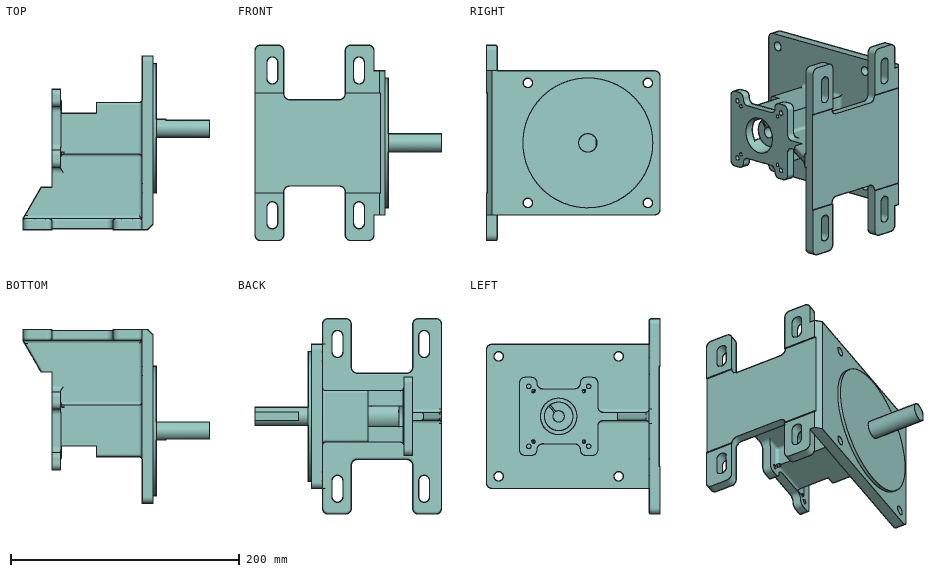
import cadquery as cq


FOOT_HALF_HEIGHT = 85.7
FOOT_THICKNESS = 9.8
FOOT_LENGTH = 104.4
EAR_WIDTH = 25.4
EAR_CORNER_RADIUS = 5.1
FOOT_WEB_HALF_HEIGHT = 37.9
SLOT_LENGTH = 23.5
SLOT_WIDTH = 9.3
SLOT_FIRST_X = 15.3
SLOT_SPACING_X = 76.0
SLOT_CENTER_Z = 63.5
RELIEF_HALF_HEIGHT = 43.7
RELIEF_DEPTH = 0.9

PLATE_THICKNESS = 9.8
PLATE_FRONT_X = FOOT_LENGTH + PLATE_THICKNESS
PLATE_TOP_Y = 152.5
PLATE_HALF_HEIGHT = 63.3
PLATE_CORNER_RADIUS = 5.1
PLATE_CHAMFER = 5.0
PLATE_HOLE_SPACING = 105.1
PLATE_HOLE_DIAMETER = 8.0
AXIS_Y = 89.0
PILOT_RADIUS = 57.0
PILOT_HEIGHT = 2.7
PILOT_FRONT_X = PLATE_FRONT_X + PILOT_HEIGHT

FLANGE_BACK_X = 25.4
FLANGE_THICKNESS = 7.7
FLANGE_FRONT_X = FLANGE_BACK_X + FLANGE_THICKNESS
FLANGE_HALF_SIZE = 34.3
FLANGE_EAR_WIDTH = 15.3
FLANGE_NOTCH_DEPTH = 10.1
FLANGE_RADIUS = 5.0
GUSSET_DEPTH = 5.1
BOLT_OFFSET = 26.2
BOLT_DIAMETER = 4.0
PIN_OFFSET = 22.1
PIN_DIAMETER = 3.0

HOUSING_HALF_SIZE = 22.6
HOUSING_EDGE_RADIUS = 2.2
WINDOW_FLOOR_Y = 102.2
WINDOW_START_X = 33.6
WINDOW_END_X = 64.3
BORE_RADIUS = 16.0

RIB_HALF_THICKNESS = 3.6
RIB_LEDGE_X = 16.0
RIB_LEDGE_Y = 37.4

FILLET_RADIUS = 2.7
ROUND_RADIUS = 2.0

SHAFT_RADIUS = 8.0
SHAFT_END_X = 163.5
FLAT_DEPTH = 0.9
FLAT_START_X = 125.3
HUB_RADIUS = 12.5
HUB_BACK_X = 37.4
HUB_BORE_RADIUS = 5.0
HUB_BORE_DEPTH = 24.0
SLIT_WIDTH = 1.5
SLIT_ANGLE = 50.0

BORE_END_X = FOOT_LENGTH
HOUSING_BOTTOM_Y = AXIS_Y - HOUSING_HALF_SIZE
HOUSING_TOP_Y = AXIS_Y + HOUSING_HALF_SIZE
FLANGE_BOTTOM_Y = AXIS_Y - FLANGE_HALF_SIZE
FLANGE_TOP_Y = AXIS_Y + FLANGE_HALF_SIZE
GUSSET_Y = FLANGE_BOTTOM_Y - GUSSET_DEPTH
FLANGE_DEPTH_WITH_FILLET = FLANGE_THICKNESS + FILLET_RADIUS

SELECTION_MARGIN = 0.09
OVERRUN = 10.3


def block(x_range, y_range, z_range):
    """Axis-aligned box given by its limits along each axis."""
    (x0, x1), (y0, y1), (z0, z1) = x_range, y_range, z_range
    return cq.Workplane("XY").box(x1 - x0, y1 - y0, z1 - z0, centered=False).translate((x0, y0, z0))


def both_sides(half):
    """Limits of a span symmetric about zero."""
    return (-half, half)


def axis_plane(x):
    """Plane facing +X centred on the shaft axis; its local x is Y and its local y is Z."""
    return cq.Workplane("YZ", origin=(x, AXIS_Y, 0))


def inside(x_range, y_range, half_z):
    """Selector of edges lying within the given limits, slightly widened."""
    low = (x_range[0] - SELECTION_MARGIN, y_range[0] - SELECTION_MARGIN, -half_z - SELECTION_MARGIN)
    high = (x_range[1] + SELECTION_MARGIN, y_range[1] + SELECTION_MARGIN, half_z + SELECTION_MARGIN)
    return cq.selectors.BoxSelector(low, high, boundingbox=True)


def make_foot():
    """Sharp-edged foot: a plate whose long edges are notched between the ears."""
    foot = block((0, FOOT_LENGTH), (0, FOOT_THICKNESS), both_sides(FOOT_HALF_HEIGHT))
    gap_x = (EAR_WIDTH, FOOT_LENGTH - EAR_WIDTH)
    for gap_z in (
        (FOOT_WEB_HALF_HEIGHT, FOOT_HALF_HEIGHT),
        (-FOOT_HALF_HEIGHT, -FOOT_WEB_HALF_HEIGHT),
    ):
        foot = foot.cut(block(gap_x, (0, FOOT_THICKNESS), gap_z))
    return foot.edges("|Y").fillet(EAR_CORNER_RADIUS)


def make_foot_edge_waste(foot):
    """Material that rounds off the foot's upper edges, clear of the rib end and the plate."""
    waste = foot.cut(foot.faces(">Y").edges().fillet(ROUND_RADIUS))
    rib_end = block((0, EAR_WIDTH), (0, FOOT_THICKNESS), both_sides(RIB_HALF_THICKNESS + FILLET_RADIUS))
    plate_root = block(
        (FOOT_LENGTH - 2 * ROUND_RADIUS, FOOT_LENGTH), (0, FOOT_THICKNESS), both_sides(PLATE_HALF_HEIGHT)
    )
    return waste.cut(rib_end).cut(plate_root)


def make_foot_slots():
    return (
        cq.Workplane("XZ")
        .center(SLOT_FIRST_X + SLOT_SPACING_X / 2, 0)
        .rarray(SLOT_SPACING_X, 2 * SLOT_CENTER_Z, 2, 2)
        .slot2D(SLOT_LENGTH, SLOT_WIDTH, 90)
        .extrude(-FOOT_THICKNESS)
    )


def make_plate():
    plate = block((FOOT_LENGTH, PLATE_FRONT_X), (0, PLATE_TOP_Y), both_sides(PLATE_HALF_HEIGHT))
    plate = plate.edges("|X and >Y").fillet(PLATE_CORNER_RADIUS)
    plate = plate.edges(">X and <Y").chamfer(PLATE_CHAMFER)
    holes = (
        axis_plane(FOOT_LENGTH)
        .rarray(PLATE_HOLE_SPACING, PLATE_HOLE_SPACING, 2, 2)
        .circle(PLATE_HOLE_DIAMETER / 2)
        .extrude(PLATE_THICKNESS)
    )
    pilot = axis_plane(PLATE_FRONT_X).circle(PILOT_RADIUS).extrude(PILOT_HEIGHT)
    return plate.cut(holes).union(pilot)


def make_rib_blank():
    """Stepped rib and the strip of foot under it, both overrunning the foot's back edge."""
    lower = block((-OVERRUN, FOOT_LENGTH), (0, RIB_LEDGE_Y), both_sides(RIB_HALF_THICKNESS))
    upper = block((FLANGE_BACK_X, FOOT_LENGTH), (0, AXIS_Y), both_sides(RIB_HALF_THICKNESS))
    strip = block((-OVERRUN, EAR_WIDTH), (0, FOOT_THICKNESS), both_sides(FOOT_WEB_HALF_HEIGHT))
    return lower.union(upper).union(strip)


def make_back_waste():
    """Everything behind the foot's back edge and the rib's slanted edge."""
    return (
        cq.Workplane("XY", origin=(0, 0, -FOOT_HALF_HEIGHT))
        .polyline([
            (0, 0),
            (0, FOOT_THICKNESS),
            (RIB_LEDGE_X, RIB_LEDGE_Y),
            (-OVERRUN, RIB_LEDGE_Y),
            (-OVERRUN, 0),
        ])
        .close()
        .extrude(2 * FOOT_HALF_HEIGHT)
    )


def make_slant_edge_waste():
    """Slivers that round off the rib's slanted edge above the fillet at the foot."""
    wedge = (
        cq.Workplane("XY", origin=(0, 0, -RIB_HALF_THICKNESS))
        .polyline([
            (0, FOOT_THICKNESS),
            (RIB_LEDGE_X, RIB_LEDGE_Y),
            (FLANGE_BACK_X, RIB_LEDGE_Y),
            (FLANGE_BACK_X, FOOT_THICKNESS),
        ])
        .close()
        .extrude(2 * RIB_HALF_THICKNESS)
    )
    slant = inside((0, RIB_LEDGE_X), (FOOT_THICKNESS, RIB_LEDGE_Y), RIB_HALF_THICKNESS)
    waste = wedge.cut(wedge.edges(slant).edges("not |Z").fillet(ROUND_RADIUS))
    foot_fillet_zone = block(
        (0, FLANGE_BACK_X), (0, FOOT_THICKNESS + FILLET_RADIUS), both_sides(RIB_HALF_THICKNESS)
    )
    return waste.cut(foot_fillet_zone)


def make_housing():
    housing = block(
        (FLANGE_BACK_X, FOOT_LENGTH), (HOUSING_BOTTOM_Y, HOUSING_TOP_Y), both_sides(HOUSING_HALF_SIZE)
    )
    return housing.edges("|X and >Y").fillet(HOUSING_EDGE_RADIUS)


def fillet_inside_corners(casting):
    """Fillet where the housing and the rib meet each other, the flange, the plate and the foot."""
    housing_y = (HOUSING_BOTTOM_Y, HOUSING_TOP_Y)
    corners = [
        inside((FLANGE_FRONT_X, FLANGE_FRONT_X), housing_y, HOUSING_HALF_SIZE),
        inside((FOOT_LENGTH, FOOT_LENGTH), housing_y, HOUSING_HALF_SIZE),
        inside((FLANGE_FRONT_X, FOOT_LENGTH), (HOUSING_BOTTOM_Y, HOUSING_BOTTOM_Y), RIB_HALF_THICKNESS),
        inside((FOOT_LENGTH, FOOT_LENGTH), (FOOT_THICKNESS, HOUSING_BOTTOM_Y), RIB_HALF_THICKNESS),
        inside((FLANGE_FRONT_X, FLANGE_FRONT_X), (GUSSET_Y, HOUSING_BOTTOM_Y), RIB_HALF_THICKNESS),
        inside((-OVERRUN, FOOT_LENGTH), (FOOT_THICKNESS, FOOT_THICKNESS), RIB_HALF_THICKNESS),
    ]
    edges = casting.newObject([])
    for corner in corners:
        edges = edges.add(casting.edges(corner))
    return edges.fillet(FILLET_RADIUS)


def make_flange_outline():
    """Flange profile with rounded ears, blending down into the rib below."""
    x_range = (FLANGE_BACK_X, FLANGE_BACK_X + FLANGE_DEPTH_WITH_FILLET)
    notch_half_width = FLANGE_HALF_SIZE - FLANGE_EAR_WIDTH
    notch_y = (AXIS_Y - notch_half_width, AXIS_Y + notch_half_width)
    notch_floor = FLANGE_HALF_SIZE - FLANGE_NOTCH_DEPTH
    outline = block(x_range, (FLANGE_BOTTOM_Y, FLANGE_TOP_Y), both_sides(FLANGE_HALF_SIZE))
    for notch_z in ((notch_floor, FLANGE_HALF_SIZE), (-FLANGE_HALF_SIZE, -notch_floor)):
        outline = outline.cut(block(x_range, notch_y, notch_z))
    rib_root = block(x_range, (GUSSET_Y, AXIS_Y), both_sides(RIB_HALF_THICKNESS))
    return outline.union(rib_root).edges("|X").edges("not <Y").fillet(FLANGE_RADIUS)


def make_flange_waste():
    """Material around the flange profile, including the fillet that overhangs its notches."""
    x_range = (FLANGE_BACK_X, FLANGE_BACK_X + FLANGE_DEPTH_WITH_FILLET)
    square = block(x_range, (GUSSET_Y, FLANGE_TOP_Y), both_sides(FLANGE_HALF_SIZE))
    return square.cut(make_flange_outline())


def make_flange_holes():
    holes = cq.Workplane("XY")
    for offset, diameter in ((BOLT_OFFSET, BOLT_DIAMETER), (PIN_OFFSET, PIN_DIAMETER)):
        row = (
            axis_plane(FLANGE_BACK_X)
            .rarray(2 * offset, 2 * offset, 2, 2)
            .circle(diameter / 2)
            .extrude(FLANGE_DEPTH_WITH_FILLET)
        )
        holes = holes.add(row)
    return holes.combine()


def make_bracket():
    foot = make_foot()
    flange_blank = block(
        (FLANGE_BACK_X, FLANGE_FRONT_X), (GUSSET_Y, FLANGE_TOP_Y), both_sides(FLANGE_HALF_SIZE)
    )
    bracket = make_plate().union(foot).union(make_rib_blank()).union(make_housing()).union(flange_blank)
    bracket = fillet_inside_corners(bracket).cut(make_back_waste()).cut(make_slant_edge_waste())
    bracket = bracket.cut(make_foot_edge_waste(foot)).cut(make_foot_slots())
    bracket = bracket.cut(make_flange_waste()).cut(make_flange_holes())

    relief = block((0, PLATE_FRONT_X), (0, RELIEF_DEPTH), both_sides(RELIEF_HALF_HEIGHT))
    window = block(
        (WINDOW_START_X, WINDOW_END_X),
        (WINDOW_FLOOR_Y, HOUSING_TOP_Y + FILLET_RADIUS),
        both_sides(HOUSING_HALF_SIZE + FILLET_RADIUS),
    )
    bore = axis_plane(FLANGE_BACK_X).circle(BORE_RADIUS).extrude(BORE_END_X - FLANGE_BACK_X)
    shaft_hole = axis_plane(BORE_END_X).circle(SHAFT_RADIUS).extrude(PILOT_FRONT_X - BORE_END_X)
    return bracket.cut(relief).cut(window).cut(bore).cut(shaft_hole)


def make_shaft():
    """Output shaft with a flat, and a hub that is bored and slit to clamp the motor shaft."""
    hub = axis_plane(HUB_BACK_X).circle(HUB_RADIUS).extrude(BORE_END_X - HUB_BACK_X)
    shaft = axis_plane(BORE_END_X).circle(SHAFT_RADIUS).extrude(SHAFT_END_X - BORE_END_X)
    flat_y = AXIS_Y + SHAFT_RADIUS
    flat = block((FLAT_START_X, SHAFT_END_X), (flat_y - FLAT_DEPTH, flat_y), both_sides(SHAFT_RADIUS))
    hub_bore = axis_plane(HUB_BACK_X).circle(HUB_BORE_RADIUS).extrude(HUB_BORE_DEPTH)
    slit = (
        axis_plane(HUB_BACK_X)
        .transformed(rotate=(0, 0, SLIT_ANGLE))
        .center(HUB_RADIUS / 2, 0)
        .rect(HUB_RADIUS, SLIT_WIDTH)
        .extrude(HUB_BORE_DEPTH)
    )
    return hub.union(shaft).cut(flat).cut(hub_bore).cut(slit)


bracket = make_bracket()
shaft = make_shaft()
result = cq.Compound.makeCompound([bracket.val(), shaft.val()])